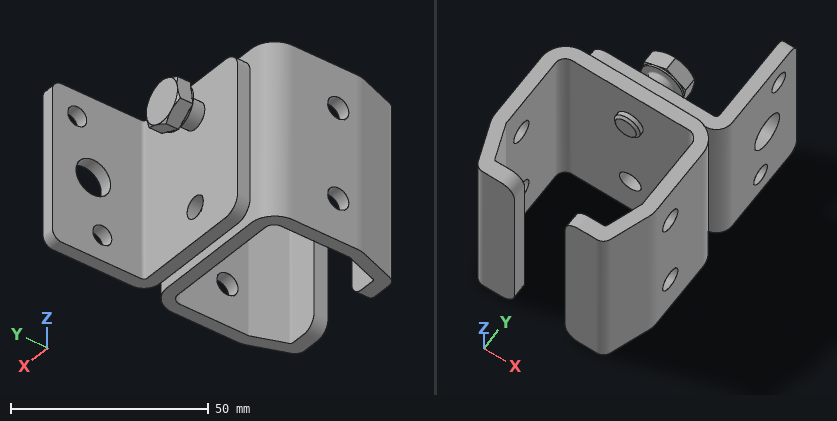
import cadquery as cq
import math

channel_width = 50.0
channel_depth = 44.1
channel_height = 55.0
sheet = 4.0
lip_thickness = 4.5
lip_gap = 15.6
lip_corner_radius = 4.2
taper_angle = 20.0
taper_start = 14.5
back_bend_radius = 7.6
taper_bend_radius = 7.95
lip_bend_radius = 3.1
back_inner_radius = 3.0
sharp_inner_radius = 0.8
side_hole_y = 22.0

hole_diameter = 6.7
hole_offset_z = 14.3

bracket_gap = 0.5
bracket_height = 50.0
bracket_left = -17.6
bracket_end = 78.0
bracket_outer_bend = 5.0
bracket_inner_bend = 1.0
plate_corner_radius = 5.0
leg_corner_radius = 3.05
leg_holes = [
    (70.05, 16.9, 6.0),
    (64.9, 0.0, 11.0),
    (62.0, -16.9, 6.0),
]

bolt_diameter = 7.95
bolt_tip_y = 38.1
bolt_tip_chamfer = 0.7
head_bearing_y = 54.05
head_top_y = 59.2
washer_face_height = 0.55
head_across_flats = 13.0
head_turn = 8.0
head_chamfer_angle = 30.0
under_head_radius = 0.5

half_width = channel_width / 2
half_height = channel_height / 2
plate_front = channel_depth + bracket_gap
plate_back = plate_front + sheet
leg_inner_x = half_width - sheet


def round_edges(body, points, radius):
    """Fillet the Z-parallel edges that pass through the given (x, y) points."""
    tolerance = 0.01
    for x, y in points:
        body = body.edges(
            cq.selectors.BoxSelector(
                (x - tolerance, y - tolerance, -channel_height),
                (x + tolerance, y + tolerance, channel_height),
                boundingbox=False,
            )
        ).fillet(radius)
    return body


def mirrored_pair(x, y):
    return [(-x, y), (x, y)]


def cylinder_y(diameter, start, end, z):
    """Round bar parallel to Y at X = 0, between two Y positions."""
    return (
        cq.Workplane("XZ", origin=(0, start, z))
        .circle(diameter / 2)
        .extrude(start - end)
    )


def cylinder_x(diameter, start, end, y, z):
    """Round bar parallel to X between two X positions."""
    return (
        cq.Workplane("YZ", origin=(start, y, z))
        .circle(diameter / 2)
        .extrude(end - start)
    )


def tapered_block(half, start, bottom, top, back_radius, taper_radius, bottom_radius):
    """Prism whose sides run straight from the top down to start, then lean inward to the bottom."""
    bottom_half = half - (start - bottom) * math.tan(math.radians(taper_angle))
    outline = [
        (-half, top), (-half, start), (-bottom_half, bottom),
        (bottom_half, bottom), (half, start), (half, top),
    ]
    block = (
        cq.Workplane("XY", origin=(0, 0, -half_height))
        .polyline(outline).close()
        .extrude(channel_height)
    )
    block = round_edges(block, mirrored_pair(half, top), back_radius)
    block = round_edges(block, mirrored_pair(half, start), taper_radius)
    return round_edges(block, mirrored_pair(bottom_half, bottom), bottom_radius)


def make_channel():
    outer = tapered_block(
        half_width, taper_start, 0, channel_depth,
        back_bend_radius, taper_bend_radius, lip_bend_radius,
    )
    inner_start = taper_start + sheet * math.tan(math.radians(taper_angle / 2))
    inner = tapered_block(
        half_width - sheet, inner_start, lip_thickness, channel_depth - sheet,
        back_inner_radius, sharp_inner_radius, sharp_inner_radius,
    )
    mouth = (
        cq.Workplane("XY")
        .box(lip_gap, lip_thickness, channel_height)
        .translate((0, lip_thickness / 2, 0))
    )
    channel = outer.cut(inner).cut(mouth)

    for side in (-1, 1):
        for end in (-1, 1):
            channel = channel.edges(
                cq.selectors.NearestToPointSelector(
                    (side * lip_gap / 2, lip_thickness / 2, end * half_height)
                )
            ).fillet(lip_corner_radius)

    for z in (-hole_offset_z, hole_offset_z):
        channel = channel.cut(cylinder_x(hole_diameter, -half_width, half_width, side_hole_y, z))
    back_inner_y = channel_depth - sheet
    channel = channel.cut(cylinder_y(hole_diameter, back_inner_y, channel_depth, -hole_offset_z))
    return channel.cut(cylinder_y(bolt_diameter, back_inner_y, channel_depth, hole_offset_z))


def make_bracket():
    outline = [
        (bracket_left, plate_front), (half_width, plate_front),
        (half_width, bracket_end), (leg_inner_x, bracket_end),
        (leg_inner_x, plate_back), (bracket_left, plate_back),
    ]
    bracket = (
        cq.Workplane("XY", origin=(0, 0, -bracket_height / 2))
        .polyline(outline).close()
        .extrude(bracket_height)
    )
    bracket = round_edges(bracket, [(half_width, plate_front)], bracket_outer_bend)
    bracket = round_edges(bracket, [(leg_inner_x, plate_back)], bracket_inner_bend)
    bracket = bracket.faces("<X").edges("|Y").fillet(plate_corner_radius)
    bracket = bracket.faces(">Y").edges("|X").fillet(leg_corner_radius)

    for y, z, diameter in leg_holes:
        bracket = bracket.cut(cylinder_x(diameter, leg_inner_x, half_width, y, z))
    bracket = bracket.cut(cylinder_y(hole_diameter, plate_front, plate_back, -hole_offset_z))
    return bracket.cut(cylinder_y(bolt_diameter, plate_front, plate_back, hole_offset_z))


def make_bolt():
    """Bolt built along +Z with its bearing face at Z = 0, then laid along +Y."""
    head_height = head_top_y - head_bearing_y
    shank_length = head_bearing_y - bolt_tip_y
    across_corners = head_across_flats / math.cos(math.radians(30))
    chamfer_width = (across_corners - head_across_flats) / 2
    chamfer_drop = chamfer_width * math.tan(math.radians(head_chamfer_angle))

    hexagon = (
        cq.Workplane("XY", origin=(0, 0, washer_face_height))
        .polygon(6, across_corners)
        .extrude(head_height - washer_face_height)
        .rotate((0, 0, 0), (0, 0, 1), 90 + head_turn)
    )
    head_envelope = (
        cq.Workplane("XY")
        .circle(across_corners / 2)
        .extrude(head_height)
        .faces(">Z").chamfer(chamfer_drop, chamfer_width)
    )
    head = hexagon.intersect(head_envelope)

    radius = bolt_diameter / 2
    washer_radius = head_across_flats / 2
    turned_shank = (
        cq.Workplane("XZ")
        .moveTo(0, washer_face_height)
        .lineTo(washer_radius, washer_face_height)
        .lineTo(washer_radius, 0)
        .lineTo(radius + under_head_radius, 0)
        .radiusArc((radius, -under_head_radius), -under_head_radius)
        .lineTo(radius, bolt_tip_chamfer - shank_length)
        .lineTo(radius - bolt_tip_chamfer, -shank_length)
        .lineTo(0, -shank_length)
        .close()
        .revolve(360, (0, 0, 0), (0, 1, 0))
    )
    bolt = head.union(turned_shank)
    return bolt.rotate((0, 0, 0), (1, 0, 0), -90).translate((0, head_bearing_y, hole_offset_z))


channel = make_channel()
bracket = make_bracket()
bolt = make_bolt()

result = cq.Compound.makeCompound([channel.val(), bracket.val(), bolt.val()])